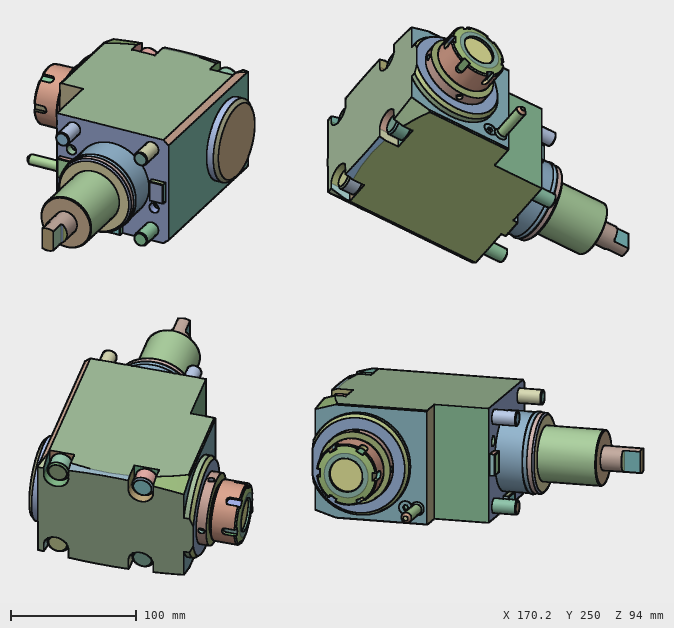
import cadquery as cq
import math


HALF_HEIGHT = 47.0
BACK_Y = 137.8
BODY_LEFT_X = -50.0
BODY_RIGHT_X = 50.0
HEAD_LEFT_X = -70.8
HEAD_STEP_Y = 45.0
RIGHT_CHAMFER_X = 4.5
RIGHT_CHAMFER_Z = 4.0
LEFT_CHAMFER_X = 1.2
LEFT_CHAMFER_Z = 0.8

RELIEF_AXIS_X = -6.2
RELIEF_AXIS_Y = -8.2
RELIEF_RADIUS = 142.5
RELIEF_SLOPE = 3.0
RELIEF_DEPTH = 10.0
RELIEF_OUTSIDE = 200.0

BOLT_X = 35.0
BOLT_Z = 36.5
BOLT_RADIUS = 6.0
BOLT_LENGTH = 19.8
BOLT_CHAMFER = 0.8
POCKET_RADIUS = 10.2
POCKET_SEAT_Y = 120.0
BOLT_HEAD_RADIUS = 9.0
BOLT_HEAD_HEIGHT = 12.8
BOLT_HEAD_CHAMFER = 1.5

KEY_WIDTH = 17.5
KEY_HEIGHT = 4.5
KEY_CHAMFER = 0.5
SIDE_KEY_INNER_X = 35.0
SIDE_KEY_LENGTH = 12.2
BOTTOM_KEY_TOP_Z = -35.2

FACE_HOLE_X = 37.0
FACE_HOLE_Z = 17.0
FACE_HOLE_RADIUS = 4.2
FACE_HOLE_DEPTH = 7.5
DRILL_POINT_ANGLE = 118.0

PILOT_RADIUS = 32.5
PILOT_END_Y = -32.0
PILOT_CHAMFER = 1.5
SHANK_RADIUS = 22.5
SHANK_END_Y = -80.8
SHANK_CHAMFER = 0.8
TANG_RADIUS = 10.0
OVERALL_LENGTH = 250.0
TANG_END_Y = BACK_Y - OVERALL_LENGTH
TANG_FLAT_Y = -98.0
TANG_THICKNESS = 10.0
TANG_ROOT_FILLET = 1.2

RING_Y = -24.5
RING_SECTION_RADIUS = 2.0
RING_OUTER_RADIUS = 33.2

SPINDLE_Y = 100.0
FLANGE_RADIUS = 41.5
FLANGE_FACE_X = -78.5
FLANGE_CHAMFER_X = 3.2
FLANGE_CHAMFER_R = 2.5
COLLAR_RADIUS = 29.5
COLLAR_FACE_X = -86.8
COLLAR_HOLE_X = -82.8
COLLAR_HOLE_RADIUS = 2.5
COLLAR_HOLE_DEPTH = 3.8
COLLAR_HOLE_COUNT = 4
NECK_RADIUS = 20.5
NUT_RADIUS = 25.0
NUT_REAR_X = -88.8
NUT_REAR_CHAMFER = 0.8
NUT_SHOULDER_X = -108.8
NUT_CONE_X = -110.0
NUT_CONE_RADIUS = 24.0
NUT_FACE_X = -111.2
NUT_FACE_RADIUS = 18.2
NUT_BORE_RADIUS = 13.8
NUT_BORE_DEPTH = 2.0
NUT_SLOT_COUNT = 6
NUT_SLOT_WIDTH = 6.2
NUT_SLOT_END_X = -98.5
NUT_SLOT_FLOOR_RADIUS = 21.8

COVER_RADIUS = 34.5
COVER_FACE_X = 59.0
COVER_CHAMFER = 3.0

NOZZLE_Y = 53.0
NOZZLE_Z = -34.0
NOZZLE_RADIUS = 4.2
NOZZLE_TIP_X = -103.2
NOZZLE_TIP_CHAMFER = 2.5
NOZZLE_TIP_RADIUS = 2.0
NOZZLE_BASE_RADIUS = 5.5
NOZZLE_BASE_HEIGHT = 2.2
PLUG_Y = 62.8
PLUG_RADIUS = 5.5
PLUG_RECESS = 0.2
PLUG_SOCKET_DIAMETER = 4.5
PLUG_SOCKET_DEPTH = 2.5


def turned_about_y(points):
    """Solid of revolution about the Y axis from (radius, y) points."""
    return cq.Workplane("XY").polyline(points).close().revolve(360, (0, 0, 0), (0, 1, 0))


def turned_about_x(points, y, z=0.0):
    """Solid of revolution about the line parallel to X through (y, z), from (x, radius) points."""
    profile = cq.Workplane("XY").polyline(points).close()
    return profile.revolve(360, (0, 0, 0), (1, 0, 0)).translate((0, y, z))


def drilled_hole(radius, depth):
    """Drill shape entering along +Y from the origin, with a conical point."""
    point_depth = radius / math.tan(math.radians(DRILL_POINT_ANGLE / 2))
    return turned_about_y([(0, 0), (radius, 0), (radius, depth), (0, depth + point_depth)])


def make_relief():
    """Conical cutter that relieves the rear top edge."""
    inner = RELIEF_RADIUS + RELIEF_SLOPE * RELIEF_DEPTH
    bottom_z = HALF_HEIGHT - RELIEF_DEPTH
    profile = [
        (RELIEF_RADIUS, HALF_HEIGHT),
        (inner, bottom_z),
        (RELIEF_OUTSIDE, bottom_z),
        (RELIEF_OUTSIDE, HALF_HEIGHT),
    ]
    cutter = cq.Workplane("XZ").polyline(profile).close().revolve(360, (0, 0, 0), (0, 1, 0))
    return cutter.translate((RELIEF_AXIS_X, RELIEF_AXIS_Y, 0))


def make_block():
    """L-shaped housing with chamfered side edges and relieved rear edges."""
    body_section = [
        (BODY_LEFT_X, -HALF_HEIGHT),
        (BODY_RIGHT_X - RIGHT_CHAMFER_X, -HALF_HEIGHT),
        (BODY_RIGHT_X, -HALF_HEIGHT + RIGHT_CHAMFER_Z),
        (BODY_RIGHT_X, HALF_HEIGHT - RIGHT_CHAMFER_Z),
        (BODY_RIGHT_X - RIGHT_CHAMFER_X, HALF_HEIGHT),
        (BODY_LEFT_X, HALF_HEIGHT),
    ]
    head_section = [
        (0, -HALF_HEIGHT),
        (HEAD_LEFT_X + LEFT_CHAMFER_X, -HALF_HEIGHT),
        (HEAD_LEFT_X, -HALF_HEIGHT + LEFT_CHAMFER_Z),
        (HEAD_LEFT_X, HALF_HEIGHT - LEFT_CHAMFER_Z),
        (HEAD_LEFT_X + LEFT_CHAMFER_X, HALF_HEIGHT),
        (0, HALF_HEIGHT),
    ]
    body = cq.Workplane("XZ").polyline(body_section).close().extrude(-BACK_Y)
    head = cq.Workplane("XZ", origin=(0, HEAD_STEP_Y, 0)).polyline(head_section).close()
    block = body.union(head.extrude(HEAD_STEP_Y - BACK_Y))
    relief = make_relief()
    return block.cut(relief).cut(relief.mirror("XY"))


def make_bolt_pocket():
    """Rear pocket of an upper bolt, open to the back and to the top; bolt axis on the Y axis."""
    length = BACK_Y - POCKET_SEAT_Y
    seat = cq.Workplane("XZ", origin=(0, POCKET_SEAT_Y, 0))
    bore = seat.circle(POCKET_RADIUS).extrude(-length)
    opening = seat.center(0, POCKET_RADIUS).rect(2 * POCKET_RADIUS, 2 * POCKET_RADIUS).extrude(-length)
    return bore.union(opening)


def make_bolt():
    """Visible ends of a mounting bolt: the head in its pocket and the threaded end."""
    seat = cq.Workplane("XZ", origin=(0, POCKET_SEAT_Y, 0))
    head = seat.circle(BOLT_HEAD_RADIUS).extrude(-BOLT_HEAD_HEIGHT)
    head = head.faces(">Y").chamfer(BOLT_HEAD_CHAMFER)
    end = cq.Workplane("XZ").circle(BOLT_RADIUS).extrude(BOLT_LENGTH)
    return head, end.faces("<Y").chamfer(BOLT_CHAMFER)


def add_bolts(housing):
    """Four bolts with their pockets, mirrored about both mid planes."""
    pocket = make_bolt_pocket()
    head, end = make_bolt()
    for side in (-1, 1):
        for level in (-1, 1):
            place = (side * BOLT_X, 0, level * BOLT_Z)
            facing = pocket if level > 0 else pocket.mirror("XY")
            housing = housing.cut(facing.translate(place))
            housing = housing.union(head.translate(place)).union(end.translate(place))
    return housing


def make_key(center_x, center_z, size_x, size_z):
    """Locating key standing on the mounting face."""
    key = cq.Workplane("XZ").center(center_x, center_z).rect(size_x, size_z).extrude(KEY_HEIGHT)
    return key.faces("<Y").chamfer(KEY_CHAMFER)


def add_keys(housing):
    """Keys left and right of the shank and one below it."""
    side_center = SIDE_KEY_INNER_X + SIDE_KEY_LENGTH / 2
    for side in (-1, 1):
        housing = housing.union(make_key(side * side_center, 0, SIDE_KEY_LENGTH, KEY_WIDTH))
    bottom_length = BOTTOM_KEY_TOP_Z + HALF_HEIGHT
    bottom_center = BOTTOM_KEY_TOP_Z - bottom_length / 2
    return housing.union(make_key(0, bottom_center, KEY_WIDTH, bottom_length))


def cut_face_holes(housing):
    """Drilled hole and, diagonally opposite, a flat-bottomed hole in the mounting face."""
    drilled = drilled_hole(FACE_HOLE_RADIUS, FACE_HOLE_DEPTH).translate((-FACE_HOLE_X, 0, FACE_HOLE_Z))
    flat = cq.Workplane("XZ").center(FACE_HOLE_X, -FACE_HOLE_Z).circle(FACE_HOLE_RADIUS)
    return housing.cut(drilled).cut(flat.extrude(-FACE_HOLE_DEPTH))


def make_shank():
    """Pilot, cylindrical shank and drive tang, turned about the Y axis."""
    shank = turned_about_y([
        (0, 0),
        (PILOT_RADIUS, 0),
        (PILOT_RADIUS, PILOT_END_Y + PILOT_CHAMFER),
        (PILOT_RADIUS - PILOT_CHAMFER, PILOT_END_Y),
        (SHANK_RADIUS, PILOT_END_Y),
        (SHANK_RADIUS, SHANK_END_Y + SHANK_CHAMFER),
        (SHANK_RADIUS - SHANK_CHAMFER, SHANK_END_Y),
        (TANG_RADIUS, SHANK_END_Y),
        (TANG_RADIUS, TANG_END_Y),
        (0, TANG_END_Y),
    ])
    flat_length = TANG_FLAT_Y - TANG_END_Y
    for side in (-1, 1):
        flat = cq.Workplane("XY").box(TANG_RADIUS, flat_length, 2 * TANG_RADIUS)
        root_edge = flat.edges("|Z").edges(">Y").edges("<X" if side > 0 else ">X")
        flat = root_edge.fillet(TANG_ROOT_FILLET)
        center_x = side * (TANG_THICKNESS + TANG_RADIUS) / 2
        shank = shank.cut(flat.translate((center_x, TANG_END_Y + flat_length / 2, 0)))
    return shank


def make_groove():
    """Rectangular groove that holds the sealing ring."""
    inner = RING_OUTER_RADIUS - 2 * RING_SECTION_RADIUS
    front_y = RING_Y - RING_SECTION_RADIUS
    rear_y = RING_Y + RING_SECTION_RADIUS
    return turned_about_y([
        (inner, front_y),
        (RING_OUTER_RADIUS, front_y),
        (RING_OUTER_RADIUS, rear_y),
        (inner, rear_y),
    ])


def make_flange():
    """Spindle flange, cut off flush with the back of the housing."""
    flange = turned_about_x([
        (HEAD_LEFT_X, 0),
        (HEAD_LEFT_X, FLANGE_RADIUS),
        (FLANGE_FACE_X + FLANGE_CHAMFER_X, FLANGE_RADIUS),
        (FLANGE_FACE_X, FLANGE_RADIUS - FLANGE_CHAMFER_R),
        (FLANGE_FACE_X, 0),
    ], SPINDLE_Y)
    overhang = cq.Workplane("XY").box(
        2 * FLANGE_RADIUS, FLANGE_RADIUS, 2 * FLANGE_RADIUS, centered=(True, False, True)
    )
    return flange.cut(overhang.translate((FLANGE_FACE_X, BACK_Y, 0)))


def make_spindle_nose():
    """Collar, neck and clamping nut, turned about the spindle axis."""
    return turned_about_x([
        (FLANGE_FACE_X, 0),
        (FLANGE_FACE_X, COLLAR_RADIUS),
        (COLLAR_FACE_X, COLLAR_RADIUS),
        (COLLAR_FACE_X, NECK_RADIUS),
        (NUT_REAR_X, NECK_RADIUS),
        (NUT_REAR_X, NUT_RADIUS - NUT_REAR_CHAMFER),
        (NUT_REAR_X - NUT_REAR_CHAMFER, NUT_RADIUS),
        (NUT_SHOULDER_X, NUT_RADIUS),
        (NUT_CONE_X, NUT_CONE_RADIUS),
        (NUT_FACE_X, NUT_FACE_RADIUS),
        (NUT_FACE_X, NUT_BORE_RADIUS),
        (NUT_FACE_X + NUT_BORE_DEPTH, NUT_BORE_RADIUS),
        (NUT_FACE_X + NUT_BORE_DEPTH, 0),
    ], SPINDLE_Y)


def make_nut_slot():
    """Round-ended spanner slot on the -Y side of the nut, relative to the spindle axis."""
    half_width = NUT_SLOT_WIDTH / 2
    arc_start_x = NUT_SLOT_END_X - half_width
    outline = (
        cq.Workplane("XZ", origin=(0, -NUT_SLOT_FLOOR_RADIUS, 0))
        .moveTo(NUT_FACE_X, -half_width)
        .lineTo(arc_start_x, -half_width)
        .threePointArc((NUT_SLOT_END_X, 0), (arc_start_x, half_width))
        .lineTo(NUT_FACE_X, half_width)
        .close()
    )
    return outline.extrude(NUT_RADIUS - NUT_SLOT_FLOOR_RADIUS + half_width)


def around_spindle(shape, count):
    """Copies of a shape spaced evenly about the X axis and moved onto the spindle axis."""
    copies = []
    for index in range(count):
        turned = shape.rotate((0, 0, 0), (1, 0, 0), index * 360 / count)
        copies.append(turned.translate((0, SPINDLE_Y, 0)))
    return copies


def make_spindle():
    """Flange and nose with the spanner slots and radial collar holes."""
    spindle = make_flange().union(make_spindle_nose())
    for slot in around_spindle(make_nut_slot(), NUT_SLOT_COUNT):
        spindle = spindle.cut(slot)
    collar_hole = drilled_hole(COLLAR_HOLE_RADIUS, COLLAR_HOLE_DEPTH)
    collar_hole = collar_hole.translate((COLLAR_HOLE_X, -COLLAR_RADIUS, 0))
    for hole in around_spindle(collar_hole, COLLAR_HOLE_COUNT):
        spindle = spindle.cut(hole)
    return spindle


def make_cover():
    """Chamfered round cover on the right side, coaxial with the spindle."""
    return turned_about_x([
        (BODY_RIGHT_X, 0),
        (BODY_RIGHT_X, COVER_RADIUS),
        (COVER_FACE_X - COVER_CHAMFER, COVER_RADIUS),
        (COVER_FACE_X, COVER_RADIUS - COVER_CHAMFER),
        (COVER_FACE_X, 0),
    ], SPINDLE_Y)


def make_nozzle():
    """Coolant nozzle with a flared base and a tapered tip."""
    return turned_about_x([
        (HEAD_LEFT_X, 0),
        (HEAD_LEFT_X, NOZZLE_BASE_RADIUS),
        (HEAD_LEFT_X - NOZZLE_BASE_HEIGHT, NOZZLE_RADIUS),
        (NOZZLE_TIP_X + NOZZLE_TIP_CHAMFER, NOZZLE_RADIUS),
        (NOZZLE_TIP_X, NOZZLE_TIP_RADIUS),
        (NOZZLE_TIP_X, 0),
    ], NOZZLE_Y, NOZZLE_Z)


def cut_plug(housing):
    """Slightly sunk plug face with a hexagon socket."""
    face = cq.Workplane("YZ", origin=(HEAD_LEFT_X, PLUG_Y, NOZZLE_Z))
    recess = face.circle(PLUG_RADIUS).extrude(PLUG_RECESS)
    socket = face.polygon(6, PLUG_SOCKET_DIAMETER).extrude(PLUG_SOCKET_DEPTH)
    return housing.cut(recess).cut(socket)


def make_tool_holder():
    """Complete holder: housing with bolts, keys, shank, spindle, cover and nozzle."""
    holder = add_keys(add_bolts(make_block()))
    holder = cut_plug(cut_face_holes(holder))
    for part in (make_shank(), make_spindle(), make_cover(), make_nozzle()):
        holder = holder.union(part)
    return holder.cut(make_groove())


def make_sealing_ring():
    """Round-section ring that fills the groove and stands slightly proud of the pilot."""
    center_radius = RING_OUTER_RADIUS - RING_SECTION_RADIUS
    section = cq.Workplane("XY").center(center_radius, RING_Y).circle(RING_SECTION_RADIUS)
    return section.revolve(360, (-center_radius, 0, 0), (-center_radius, 1, 0))


tool_holder = make_tool_holder()
sealing_ring = make_sealing_ring()

result = cq.Compound.makeCompound([tool_holder.val(), sealing_ring.val()])